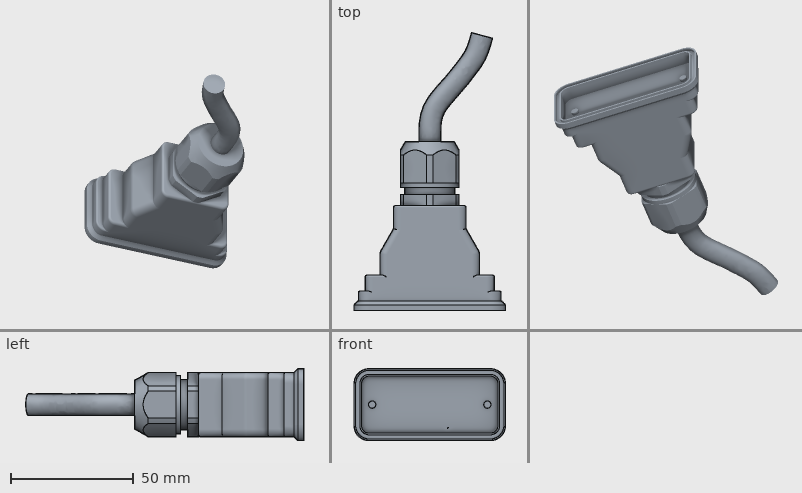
import cadquery as cq
import math


overall_length = 113.5

body_height = 26.3
flange_width, flange_height, flange_corner = 61.9, 29.4, 6.2
flange_top = 4.0
flange_chamfer = (flange_height - body_height) / 2
collar_width, collar_corner, collar_top, collar_rounding = 58.2, 4.2, 8.1, 0.7
shoulder_width, shoulder_corner, shoulder_top = 52.8, 3.1, 14.6
edge_rounding = 1.0

neck_base_width = 40.6
neck_end_width = 29.6
taper_start, taper_end = 23.8, 33.5
hood_top = 43.0
taper_rounding = 3.0
neck_corner = 3.0

lip = 0.7
groove_width = 1.7
groove_depth = 1.1
pocket_inset = 2 * lip + groove_width
pocket_depth = 5.6
pin_diameter, pin_length, pin_offset = 3.0, 1.2, 23.5

hex_sides = 6
hex_flats = 24.0
hex_corner_diameter = 26.3
gland_neck_diameter = 20.5
ring_start, nut_start, nut_end = 50.3, 52.1, 69.0
base_nut_end = 47.5
nut_end_diameter = 20.0
nut_cone_angle = 30

cable_diameter = 9.0
cable_first_bend = (1.6, 82.0)
cable_middle = (8.4, 90.9)
cable_second_bend = (16.9, 101.6)
cable_end_offset = 21.3
cable_end_angle = 15


def plane_at(y):
    """Sketch plane parallel to the mating face; its normal points to -Y."""
    return cq.Workplane("XZ", origin=(0, y, 0))


def rounded_block(width, height, corner, start, end):
    block = plane_at(start).rect(width, height).extrude(start - end)
    return block.edges("|Y").fillet(corner)


def inset_block(inset, depth):
    """Block that follows the flange outline at an inset, sunk from the mating face."""
    return rounded_block(
        flange_width - 2 * inset, flange_height - 2 * inset, flange_corner - inset, 0, depth
    )


def cylinder(diameter, start, end):
    return plane_at(start).circle(diameter / 2).extrude(start - end)


def hexagon(start, end):
    """Hexagon with flats facing +X and -X and its corners turned down to a cylinder."""
    half_sector = 180 / hex_sides
    across_corners = hex_flats / math.cos(math.radians(half_sector))
    prism = plane_at(start).polygon(hex_sides, across_corners).extrude(start - end)
    prism = prism.rotate((0, 0, 0), (0, 1, 0), half_sector)
    return prism.intersect(cylinder(hex_corner_diameter, start, end))


def make_neck():
    half_base, half_end = neck_base_width / 2, neck_end_width / 2
    left_side = [
        (-half_end, hood_top),
        (-half_end, taper_end),
        (-half_base, taper_start),
        (-half_base, collar_top),
    ]
    right_side = [(-x, y) for x, y in reversed(left_side)]
    neck = (
        cq.Workplane("XY", origin=(0, 0, -body_height / 2))
        .polyline(left_side + right_side)
        .close()
        .extrude(body_height)
    )
    upright_edges = neck.edges("|Z")
    taper_edges = upright_edges.filter(lambda edge: math.isclose(edge.Center().y, taper_start))
    neck = taper_edges.fillet(taper_rounding)
    side_edges = neck.faces("|Z").edges("not |X")
    neck = side_edges.fillet(neck_corner)
    return neck.faces(">Y").edges().fillet(edge_rounding)


def make_hood():
    flange = rounded_block(flange_width, flange_height, flange_corner, 0, flange_top)
    flange = flange.faces(">Y").edges().chamfer(flange_chamfer)
    collar = rounded_block(collar_width, body_height, collar_corner, 0, collar_top)
    collar = collar.faces(">Y").edges().fillet(collar_rounding)
    shoulder = rounded_block(shoulder_width, body_height, shoulder_corner, 0, shoulder_top)
    shoulder = shoulder.faces(">Y").edges().fillet(edge_rounding)
    return flange.union(collar).union(shoulder).union(make_neck())


def cut_mating_face(hood):
    groove = inset_block(lip, groove_depth).cut(inset_block(lip + groove_width, groove_depth))
    hood = hood.cut(groove).cut(inset_block(pocket_inset, pocket_depth))
    for side in (-1, 1):
        pin = cylinder(pin_diameter, pocket_depth - pin_length, pocket_depth)
        hood = hood.union(pin.translate((side * pin_offset, 0, 0)))
    return hood


def make_gland():
    base_nut = hexagon(hood_top, base_nut_end)
    neck = cylinder(gland_neck_diameter, hood_top, nut_start)
    ring = cylinder(hex_flats, ring_start, nut_start)
    cone_rise = (hex_corner_diameter - nut_end_diameter) / 2
    cone_length = cone_rise / math.tan(math.radians(nut_cone_angle))
    envelope = cylinder(hex_corner_diameter, nut_start, nut_end)
    envelope = envelope.faces(">Y").chamfer(cone_length, cone_rise)
    nut = hexagon(nut_start, nut_end).intersect(envelope)
    return base_nut.union(neck).union(ring).union(nut)


def make_cable():
    angle = math.radians(cable_end_angle)
    cable_end_y = overall_length - cable_diameter / 2 * math.sin(angle)
    cable_end = (cable_end_offset, cable_end_y)
    path = cq.Workplane("XY").spline(
        [(0, nut_end), cable_first_bend, cable_middle, cable_second_bend, cable_end],
        tangents=[(0, 1), (math.sin(angle), math.cos(angle))],
    )
    return plane_at(nut_end).circle(cable_diameter / 2).sweep(path)


hood = cut_mating_face(make_hood())
result = hood.union(make_gland()).union(make_cable())